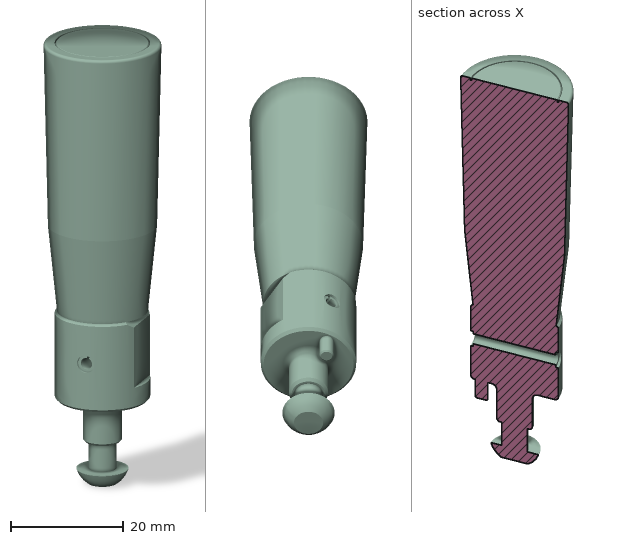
import cadquery as cq
import math


total_height = 82.25
shank_length = 15.75
stem_length = 8.0
head_height = 2.75
collar_height = 16.5
grip_cone_height = 16.0
grip_top = total_height - shank_length
grip_waist = collar_height + grip_cone_height

collar_radius = 17.0 / 2
collar_bottom_chamfer = 0.5
collar_top_chamfer = 0.4
flat_distance = 7.5
flat_bottom = 4.0
flat_chamfer = 1.2

stem_radius = 7.0 / 2
stem_root_fillet = 1.0
stem_chamfer = 0.5
neck_radius = 5.0 / 2
head_radius = 9.3 / 2
head_tip_radius = 5.2 / 2
head_rim_height = 0.1
head_bulge = 0.3

grip_bottom_radius = 16.2 / 2
grip_waist_radius = 9.72
grip_top_radius = 20.98 / 2
grip_cone_bottom_slope = 0.09
grip_cone_top_slope = 0.115
barrel_bottom_slope = 0.018
barrel_top_slope = 0.03
rim_fillet = 0.5
cap_groove_outer_radius = 17.0 / 2
cap_radius = 16.7 / 2
cap_chamfer = 0.2
cap_groove_depth = 0.5

spring_pin_height = 8.9
spring_pin_radius = 3.2 / 2
spring_pin_bore_radius = 2.1 / 2
spring_pin_recess = 0.5
spring_pin_slit = 0.45
spring_pin_slit_angle = 15.0

locating_pin_radius = 2.5 / 2
locating_pin_offset = 6.4
locating_pin_length = 4.0
locating_pin_chamfer = 0.25


def bowed_midpoint(start, end, bow):
    """Middle of the chord from start to end, moved sideways by bow (to the right of travel)."""
    dx = end[0] - start[0]
    dz = end[1] - start[1]
    length = math.hypot(dx, dz)
    middle_x = (start[0] + end[0]) / 2
    middle_z = (start[1] + end[1]) / 2
    return (middle_x + bow * dz / length, middle_z - bow * dx / length)


def make_shank():
    """Stem, neck and rounded riveting head, meeting the lower face of the collar."""
    head_tip = (head_tip_radius, -shank_length)
    head_rim = (head_radius, -shank_length + head_height - head_rim_height)
    head_top = -shank_length + head_height
    fillet_middle = stem_root_fillet * (1 - math.sqrt(0.5))
    return (
        cq.Workplane("XZ")
        .moveTo(0, -shank_length)
        .lineTo(*head_tip)
        .threePointArc(bowed_midpoint(head_tip, head_rim, head_bulge), head_rim)
        .lineTo(head_radius, head_top)
        .lineTo(neck_radius, head_top)
        .lineTo(neck_radius, -stem_length)
        .lineTo(stem_radius - stem_chamfer, -stem_length)
        .lineTo(stem_radius, -stem_length + stem_chamfer)
        .lineTo(stem_radius, -stem_root_fillet)
        .threePointArc(
            (stem_radius + fillet_middle, -fillet_middle),
            (stem_radius + stem_root_fillet, 0),
        )
        .lineTo(0, 0)
        .close()
        .revolve(360, (0, 0, 0), (0, 1, 0))
    )


def make_collar():
    """Cylinder with chamfered ends and a chamfered flat on the +X side."""
    collar = cq.Workplane("XY").circle(collar_radius).extrude(collar_height)
    collar = collar.faces("<Z").chamfer(collar_bottom_chamfer)
    collar = collar.faces(">Z").chamfer(collar_top_chamfer)
    flat_cut = (
        cq.Workplane("XZ")
        .moveTo(flat_distance, flat_bottom)
        .lineTo(flat_distance, collar_height - flat_chamfer)
        .lineTo(flat_distance - flat_chamfer, collar_height)
        .lineTo(collar_radius, collar_height)
        .lineTo(collar_radius, flat_bottom)
        .close()
        .extrude(collar_radius, both=True)
    )
    return collar.cut(flat_cut)


def make_grip():
    """Hollow-sided cone, slightly flared upper barrel, and a narrow groove around the top cap."""
    bottom = (grip_bottom_radius, collar_height)
    waist = (grip_waist_radius, grip_waist)
    rim = (grip_top_radius, grip_top - rim_fillet)
    fillet_inset = rim_fillet * (1 - math.sqrt(0.5))
    grip = (
        cq.Workplane("XZ")
        .moveTo(0, collar_height)
        .lineTo(*bottom)
        .spline([bottom, waist], [(grip_cone_bottom_slope, 1), (grip_cone_top_slope, 1)])
        .spline([waist, rim], [(barrel_bottom_slope, 1), (barrel_top_slope, 1)])
        .threePointArc(
            (grip_top_radius - fillet_inset, grip_top - fillet_inset),
            (grip_top_radius - rim_fillet, grip_top),
        )
        .lineTo(0, grip_top)
        .close()
        .revolve(360, (0, 0, 0), (0, 1, 0))
    )
    cap_groove = (
        cq.Workplane("XZ")
        .moveTo(cap_radius - cap_chamfer, grip_top)
        .lineTo(cap_radius, grip_top - cap_chamfer)
        .lineTo(cap_radius, grip_top - cap_groove_depth)
        .lineTo(cap_groove_outer_radius, grip_top - cap_groove_depth)
        .lineTo(cap_groove_outer_radius, grip_top)
        .close()
        .revolve(360, (0, 0, 0), (0, 1, 0))
    )
    return grip.cut(cap_groove)


def cross_cylinder(radius, half_length):
    """Cylinder along Y through the axis at the height of the spring pin."""
    return (
        cq.Workplane("XZ", origin=(0, 0, spring_pin_height))
        .circle(radius)
        .extrude(half_length, both=True)
    )


def make_spring_pin():
    """Slotted tube whose ends sit slightly below the collar surface."""
    half_length = collar_radius - spring_pin_recess
    slit = (
        cq.Workplane("XY")
        .box(spring_pin_slit, 2 * half_length, spring_pin_radius, centered=(True, True, False))
        .rotate((0, 0, 0), (0, 1, 0), spring_pin_slit_angle)
        .translate((0, 0, spring_pin_height))
    )
    tube = cross_cylinder(spring_pin_radius, half_length)
    return tube.cut(cross_cylinder(spring_pin_bore_radius, half_length)).cut(slit)


def make_locating_pin():
    """Round pin with a chamfered lower end."""
    return (
        cq.Workplane("XY", origin=(0, locating_pin_offset, 0))
        .circle(locating_pin_radius)
        .extrude(-locating_pin_length)
        .faces("<Z")
        .chamfer(locating_pin_chamfer)
    )


body = make_collar().union(make_shank()).union(make_grip()).union(make_locating_pin())
pin_hole = cross_cylinder(spring_pin_radius, collar_radius)
result = body.cut(pin_hole).union(make_spring_pin())